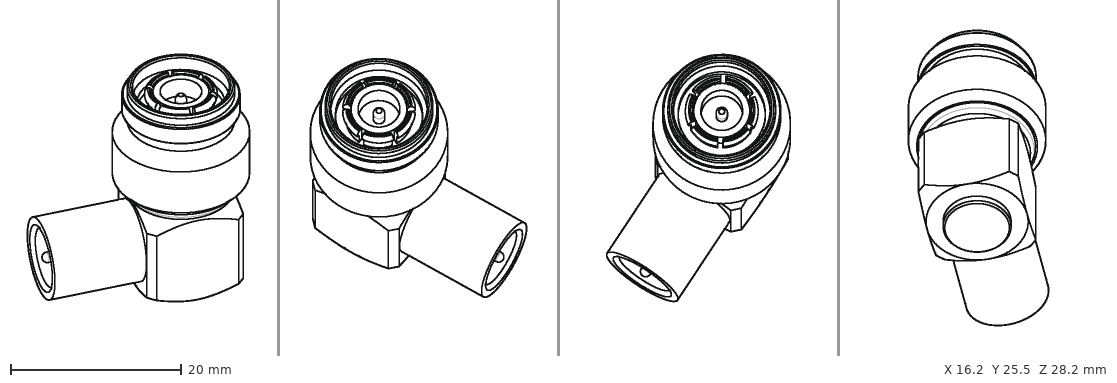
import cadquery as cq
import math

TOP_Z = 28.2
STUB_TOP_Z = 1.1
CABLE_AXIS_Z = 7.08
NUT_BOTTOM_Z = 13.23

BODY_HALF = 6.0
BODY_CORNER_CHAMFER = 0.9
BODY_CONE_TOP_Z = 12.6
BODY_CONE_SLOPE = math.tan(math.radians(30))
STUB_RADIUS = 4.0
STUB_CHAMFER = (0.2, 0.28)

SLEEVE_END_Y = -17.4
SLEEVE_RADIUS = 5.0
SLEEVE_BORE_RADIUS = 3.55
SLEEVE_BORE_DEPTH = 2.45
SLEEVE_BORE_CHAMFER = 0.5
SLEEVE_PIN_RADIUS = 0.62
SLEEVE_PIN_RECESS = 0.15

COLLAR_BOTTOM_RADIUS = 6.3
COLLAR_RADIUS = 6.68
COLLAR_CHAMFER_TOP_Z = 13.85
COLLAR_TOP_RADIUS = 6.88
COLLAR_TOP_Z = 14.5
NUT_RADIUS = 8.1
NUT_LOWER_EDGE_Z = 15.48
NUT_LOWER_CONE_RADIUS = NUT_RADIUS - (NUT_LOWER_EDGE_Z - COLLAR_TOP_Z)
NUT_UPPER_EDGE_Z = 21.43
NUT_NECK_RADIUS = 6.35
NUT_NECK_Z = NUT_UPPER_EDGE_Z + NUT_RADIUS - NUT_NECK_RADIUS
RING_RADIUS = 6.97
RING_BOTTOM_Z = 24.62
RING_TOP_Z = 26.95
RING_CHAMFER = 0.15
LIP_CHAMFER = (0.2, 0.28)

CAVITY_RADIUS = 5.7
CAVITY_LIP_CHAMFER = 0.2
SEAT_RADIUS = 5.13
SEAT_CONE_TOP_Z = 26.3
SEAT_CONE_BOTTOM_Z = SEAT_CONE_TOP_Z - (CAVITY_RADIUS - SEAT_RADIUS)
CAVITY_FLOOR_Z = 24.8

CORE_ROOT_Z = CAVITY_FLOOR_Z - 0.55
FINGER_TOP_Z = 27.5
FINGER_MOUTH_RADIUS = 3.7
FINGER_INNER_CHAMFER = 0.2
FINGER_TAPER_HEIGHT = 0.4
FINGER_FLAT_RADIUS = 3.9
FINGER_BULGE_RADIUS = 4.3
FINGER_BULGE_HALF_HEIGHT = 0.62
SLOT_WIDTH = 0.62
SLOT_COUNT = 6
INSULATOR_RADIUS = 3.3
INSULATOR_BORE_RADIUS = 2.45
INSULATOR_TOP_Z = 27.27
PIN_RADIUS = 0.68
PIN_TIP_RADIUS = 0.35
PIN_TIP_Z = 26.75
PIN_SHOULDER_Z = 26.08


def turned(points):
    """Solid of revolution about Z from (radius, z) points starting and ending on the axis."""
    return cq.Workplane("XZ").polyline(points).close().revolve(360, (0, 0, 0), (0, 1, 0))


def cylinder(radius, bottom, top):
    return cq.Workplane("XY").workplane(offset=bottom).circle(radius).extrude(top - bottom)


def elbow_body():
    block = (
        cq.Workplane("XY")
        .workplane(offset=STUB_TOP_Z)
        .rect(2 * BODY_HALF, 2 * BODY_HALF)
        .extrude(NUT_BOTTOM_Z - STUB_TOP_Z)
        .edges("|Z")
        .chamfer(BODY_CORNER_CHAMFER)
    )
    reach = BODY_HALF * math.sqrt(2)
    drop = (reach - BODY_HALF) * BODY_CONE_SLOPE
    top_radius = BODY_HALF - (NUT_BOTTOM_Z - BODY_CONE_TOP_Z) / BODY_CONE_SLOPE
    envelope = turned([
        (0, STUB_TOP_Z),
        (BODY_HALF, STUB_TOP_Z),
        (reach, STUB_TOP_Z + drop),
        (reach, BODY_CONE_TOP_Z - drop),
        (top_radius, NUT_BOTTOM_Z),
        (0, NUT_BOTTOM_Z),
    ])
    return block.intersect(envelope)


def bottom_stub():
    radial, axial = STUB_CHAMFER
    return turned([
        (0, 0),
        (STUB_RADIUS - radial, 0),
        (STUB_RADIUS, axial),
        (STUB_RADIUS, STUB_TOP_Z),
        (0, STUB_TOP_Z),
    ])


def plug_sleeve():
    """Sleeve with its bore and rounded pin, modelled along Z and laid down to point along -Y."""
    length = -SLEEVE_END_Y - BODY_HALF
    mouth_radius = SLEEVE_BORE_RADIUS + SLEEVE_BORE_CHAMFER
    floor = length - SLEEVE_BORE_DEPTH
    sleeve = turned([
        (0, 0),
        (SLEEVE_RADIUS, 0),
        (SLEEVE_RADIUS, length),
        (mouth_radius, length),
        (SLEEVE_BORE_RADIUS, length - SLEEVE_BORE_CHAMFER),
        (SLEEVE_BORE_RADIUS, floor),
        (0, floor),
    ])
    dome_base = length - SLEEVE_PIN_RECESS - SLEEVE_PIN_RADIUS
    pin = cylinder(SLEEVE_PIN_RADIUS, 0, dome_base)
    dome = cq.Workplane("XY").sphere(SLEEVE_PIN_RADIUS).translate((0, 0, dome_base))
    upright = sleeve.union(pin).union(dome)
    return upright.rotate((0, 0, 0), (1, 0, 0), 90).translate((0, -BODY_HALF, CABLE_AXIS_Z))


def coupling_nut():
    radial, axial = LIP_CHAMFER
    return turned([
        (0, NUT_BOTTOM_Z),
        (COLLAR_BOTTOM_RADIUS, NUT_BOTTOM_Z),
        (COLLAR_RADIUS, COLLAR_CHAMFER_TOP_Z),
        (COLLAR_TOP_RADIUS, COLLAR_TOP_Z),
        (NUT_LOWER_CONE_RADIUS, COLLAR_TOP_Z),
        (NUT_RADIUS, NUT_LOWER_EDGE_Z),
        (NUT_RADIUS, NUT_UPPER_EDGE_Z),
        (NUT_NECK_RADIUS, NUT_NECK_Z),
        (NUT_NECK_RADIUS, RING_BOTTOM_Z),
        (RING_RADIUS - RING_CHAMFER, RING_BOTTOM_Z),
        (RING_RADIUS, RING_BOTTOM_Z + RING_CHAMFER),
        (RING_RADIUS, RING_TOP_Z - RING_CHAMFER),
        (RING_RADIUS - RING_CHAMFER, RING_TOP_Z),
        (NUT_NECK_RADIUS, RING_TOP_Z),
        (NUT_NECK_RADIUS, TOP_Z - axial),
        (NUT_NECK_RADIUS - radial, TOP_Z),
        (CAVITY_RADIUS + CAVITY_LIP_CHAMFER, TOP_Z),
        (CAVITY_RADIUS, TOP_Z - CAVITY_LIP_CHAMFER),
        (CAVITY_RADIUS, SEAT_CONE_TOP_Z),
        (SEAT_RADIUS, SEAT_CONE_BOTTOM_Z),
        (SEAT_RADIUS, CAVITY_FLOOR_Z),
        (0, CAVITY_FLOOR_Z),
    ])


def spring_fingers():
    """Slotted ring around the insulator, with a rounded outer bulge and a two-step tapered mouth."""
    bulge_z = FINGER_TOP_Z - FINGER_BULGE_HALF_HEIGHT
    chamfer_z = FINGER_TOP_Z - FINGER_INNER_CHAMFER
    ring = (
        cq.Workplane("XZ")
        .moveTo(INSULATOR_RADIUS, CORE_ROOT_Z)
        .lineTo(INSULATOR_RADIUS, chamfer_z - FINGER_TAPER_HEIGHT)
        .lineTo(FINGER_MOUTH_RADIUS - FINGER_INNER_CHAMFER, chamfer_z)
        .lineTo(FINGER_MOUTH_RADIUS, FINGER_TOP_Z)
        .lineTo(FINGER_FLAT_RADIUS, FINGER_TOP_Z)
        .threePointArc(
            (FINGER_BULGE_RADIUS, bulge_z),
            (FINGER_FLAT_RADIUS, bulge_z - FINGER_BULGE_HALF_HEIGHT),
        )
        .lineTo(FINGER_FLAT_RADIUS, CORE_ROOT_Z)
        .close()
        .revolve(360, (0, 0, 0), (0, 1, 0))
    )
    slot = (
        cq.Workplane("XY")
        .workplane(offset=CAVITY_FLOOR_Z)
        .rect(2 * SEAT_RADIUS, SLOT_WIDTH)
        .extrude(TOP_Z - CAVITY_FLOOR_Z)
    )
    for index in range(SLOT_COUNT // 2):
        ring = ring.cut(slot.rotate((0, 0, 0), (0, 0, 1), index * 360 / SLOT_COUNT))
    return ring


def insulator():
    sleeve = cylinder(INSULATOR_RADIUS, CORE_ROOT_Z, INSULATOR_TOP_Z)
    return sleeve.cut(cylinder(INSULATOR_BORE_RADIUS, CAVITY_FLOOR_Z, TOP_Z))


def centre_pin():
    return (
        cq.Workplane("XZ")
        .moveTo(0, CORE_ROOT_Z)
        .lineTo(PIN_RADIUS, CORE_ROOT_Z)
        .lineTo(PIN_RADIUS, PIN_SHOULDER_Z)
        .tangentArcPoint((PIN_TIP_RADIUS, PIN_TIP_Z), relative=False)
        .lineTo(0, PIN_TIP_Z)
        .close()
        .revolve(360, (0, 0, 0), (0, 1, 0))
    )


result = (
    elbow_body()
    .union(bottom_stub())
    .union(plug_sleeve())
    .union(coupling_nut())
    .union(spring_fingers())
    .union(insulator())
    .union(centre_pin())
)